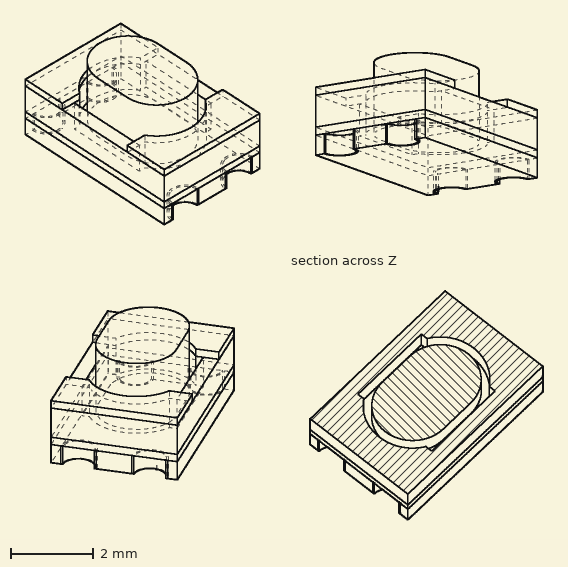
import cadquery as cq


length = 4.9
width = 3.2

base_height = 0.5
plate_height = 0.2
frame_height = 0.8
cover_height = 0.2
button_rise = 0.8

plate_bottom = base_height
frame_bottom = plate_bottom + plate_height
cover_bottom = frame_bottom + frame_height
cover_top = cover_bottom + cover_height
button_top = cover_top + button_rise

button_radius = 1.0
button_straight = 1.0
clearance = 0.2
opening_radius = button_radius + clearance
cover_gap = 2.29

notch_radius = 0.45
shell_thickness = 0.05
notch_offset = 0.9

peg_size = 0.015
peg_length = 0.115
peg_x = -1.865
peg_y = -notch_offset


def block(size_x, size_y, bottom, height):
    """Rectangular block centred on the Z axis, standing on the level `bottom`."""
    return cq.Workplane("XY").workplane(offset=bottom).rect(size_x, size_y).extrude(height)


def stadium(radius, straight, bottom, height):
    """Upright body with two straight sides along X and two half-round ends."""
    outline = cq.Workplane("XY").workplane(offset=bottom).slot2D(straight + 2 * radius, 2 * radius)
    return outline.extrude(height)


def cylinder_at(x, y, radius, height):
    """Upright cylinder standing on Z = 0."""
    return cq.Workplane("XY").center(x, y).circle(radius).extrude(height)


def make_base(notch_places):
    """Bottom block with half-round end notches and the thin peg below it."""
    base = block(length, width, 0, base_height)
    for x, y in notch_places:
        base = base.cut(cylinder_at(x, y, notch_radius, base_height))
    peg = cq.Workplane("XY").center(peg_x, peg_y).rect(peg_size, peg_size).extrude(-peg_length)
    return base.union(peg)


def make_terminal(x, y):
    """Half-round shell lining one notch, flush with the end of the base."""
    outer = cylinder_at(x, y, notch_radius, base_height)
    inner = cylinder_at(x, y, notch_radius - shell_thickness, base_height)
    return outer.cut(inner).intersect(block(length, width, 0, base_height))


def make_plate():
    """Flat plate between the base and the frame."""
    return block(length, width, plate_bottom, plate_height)


def make_frame():
    """Surround whose opening is the button clearance squared out across the cover gap."""
    frame = block(length, width, frame_bottom, frame_height)
    round_opening = stadium(opening_radius, button_straight, frame_bottom, frame_height)
    square_opening = block(cover_gap, 2 * opening_radius, frame_bottom, frame_height)
    return frame.cut(round_opening).cut(square_opening)


def make_cover(side):
    """Cover half at one end; `side` is -1 for the -X end and 1 for the +X end."""
    cover_length = (length - cover_gap) / 2
    cover_x = side * (length - cover_length) / 2
    cover = block(cover_length, width, cover_bottom, cover_height).translate((cover_x, 0, 0))
    return cover.cut(stadium(opening_radius, button_straight, cover_bottom, cover_height))


def make_button():
    """Button standing on the plate inside the frame and rising above the cover."""
    return stadium(button_radius, button_straight, frame_bottom, button_top - frame_bottom)


ends = (-1, 1)
notch_places = [(end * length / 2, row * notch_offset) for end in ends for row in (-1, 1)]

base = make_base(notch_places)
terminals = [make_terminal(x, y) for x, y in notch_places]
plate = make_plate()
frame = make_frame()
covers = [make_cover(end) for end in ends]
button = make_button()

result = cq.Compound.makeCompound([
    base.solids().val(),
    *[terminal.solids().val() for terminal in terminals],
    plate.solids().val(),
    frame.solids().val(),
    *[cover.solids().val() for cover in covers],
    button.solids().val(),
])